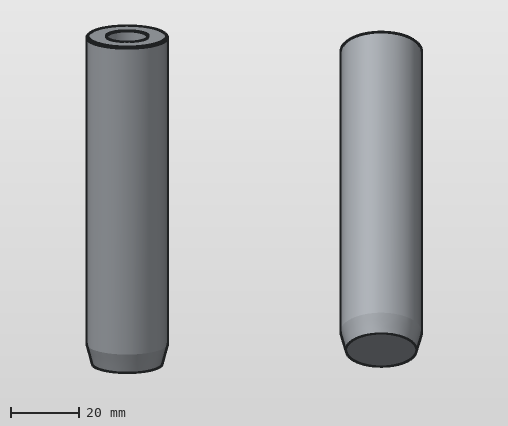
import cadquery as cq
import math

length = 100.0
radius = 12.0
top_chamfer = 0.5

taper_height = 6.0
taper_angle = 15.0
tip_radius = radius - taper_height * math.tan(math.radians(taper_angle))

hole_radius = 6.0
hole_depth = 30.0
hole_chamfer = 0.25
drill_point_angle = 118.0
drill_point_height = hole_radius / math.tan(math.radians(drill_point_angle / 2))

hole_floor = length - hole_depth

half_section = (
    cq.Workplane("XZ")
    .moveTo(0, 0)
    .lineTo(tip_radius, 0)
    .lineTo(radius, taper_height)
    .lineTo(radius, length - top_chamfer)
    .lineTo(radius - top_chamfer, length)
    .lineTo(hole_radius + hole_chamfer, length)
    .lineTo(hole_radius, length - hole_chamfer)
    .lineTo(hole_radius, hole_floor)
    .lineTo(0, hole_floor - drill_point_height)
    .close()
)

result = half_section.revolve(360, (0, 0, 0), (0, 1, 0))